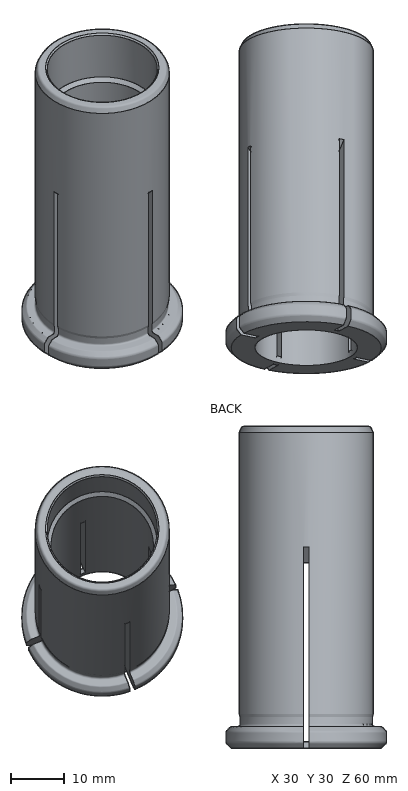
import cadquery as cq

HEIGHT = 60.0
FLANGE_RADIUS = 15.0
TUBE_RADIUS = 25.0 / 2
EDGE_ROUNDING = 0.6

LEAD_WIDTH = 0.55
LEAD_HEIGHT = 1.15

FLANGE_HEIGHT = 4.1
FLANGE_TOP_CHAMFER = 0.95
FLANGE_SHOULDER_ROUNDING = 0.4
FLANGE_BOTTOM_CHAMFER = 1.0
NECK_RADIUS = 12.35
NECK_TOP = 5.75
NECK_TAPER_TOP = 6.35
NECK_FOOT_RADIUS = 0.4

BORE_RADIUS = 19.1 / 2
COUNTERBORE_RADIUS = 20.5 / 2
COUNTERBORE_DEPTH = 10.1
BORE_MOUTH_CHAMFER = 0.3

SLOT_COUNT = 4
SLOT_WIDTH = 1.0
SLOT_TOP = 37.5
SLOT_SILL_HEIGHT = 1.25
CUT_MARGIN = 0.6

LEVEL_TOLERANCE = 0.05


def round_ring(body, height, rank, rounding):
    """Fillet the circular edge at a height; rank counts radii from the smallest."""
    reach = FLANGE_RADIUS + CUT_MARGIN
    level = cq.selectors.BoxSelector(
        (-reach, -reach, height - LEVEL_TOLERANCE),
        (reach, reach, height + LEVEL_TOLERANCE),
        boundingbox=True,
    )
    ring = cq.selectors.RadiusNthSelector(rank)
    return body.edges(level).edges(ring).fillet(rounding)


def make_outer_body():
    """Revolve the solid tube and flange, then round their edges."""
    lead_radius = TUBE_RADIUS - LEAD_WIDTH
    flange_rim_top = FLANGE_HEIGHT - FLANGE_TOP_CHAMFER
    body = (
        cq.Workplane("XZ")
        .polyline([
            (0, 0),
            (FLANGE_RADIUS - FLANGE_BOTTOM_CHAMFER, 0),
            (FLANGE_RADIUS, FLANGE_BOTTOM_CHAMFER),
            (FLANGE_RADIUS, flange_rim_top),
            (FLANGE_RADIUS - FLANGE_TOP_CHAMFER, FLANGE_HEIGHT),
            (NECK_RADIUS, FLANGE_HEIGHT),
            (NECK_RADIUS, NECK_TOP),
            (TUBE_RADIUS, NECK_TAPER_TOP),
            (TUBE_RADIUS, HEIGHT - LEAD_HEIGHT),
            (lead_radius, HEIGHT),
            (0, HEIGHT),
        ])
        .close()
        .revolve(360, (0, 0, 0), (0, 1, 0))
    )
    smallest, largest = 0, -1
    body = round_ring(body, FLANGE_BOTTOM_CHAMFER, largest, EDGE_ROUNDING)
    body = round_ring(body, flange_rim_top, largest, EDGE_ROUNDING)
    body = round_ring(body, HEIGHT, largest, EDGE_ROUNDING)
    body = round_ring(body, FLANGE_HEIGHT, largest, FLANGE_SHOULDER_ROUNDING)
    return round_ring(body, FLANGE_HEIGHT, smallest, NECK_FOOT_RADIUS)


def make_bore():
    """Revolve the stepped bore, including its chamfered upper mouth."""
    shoulder_top = HEIGHT - COUNTERBORE_DEPTH
    shoulder_bottom = shoulder_top - (COUNTERBORE_RADIUS - BORE_RADIUS)
    return (
        cq.Workplane("XZ")
        .polyline([
            (0, 0),
            (BORE_RADIUS, 0),
            (BORE_RADIUS, shoulder_bottom),
            (COUNTERBORE_RADIUS, shoulder_top),
            (COUNTERBORE_RADIUS, HEIGHT - BORE_MOUTH_CHAMFER),
            (COUNTERBORE_RADIUS + BORE_MOUTH_CHAMFER, HEIGHT),
            (0, HEIGHT),
        ])
        .close()
        .revolve(360, (0, 0, 0), (0, 1, 0))
    )


def make_slot():
    """Build one radial slot cutter along +X, its ends sloping at 45 degrees."""
    inner = BORE_RADIUS - CUT_MARGIN
    outer = FLANGE_RADIUS + CUT_MARGIN
    sill_sum = BORE_RADIUS + SLOT_SILL_HEIGHT
    top_offset = SLOT_TOP - TUBE_RADIUS
    return (
        cq.Workplane("XZ")
        .polyline([
            (inner, sill_sum - inner),
            (sill_sum + CUT_MARGIN, -CUT_MARGIN),
            (outer, -CUT_MARGIN),
            (outer, outer + top_offset),
            (inner, inner + top_offset),
        ])
        .close()
        .extrude(SLOT_WIDTH / 2, both=True)
    )


result = make_outer_body().cut(make_bore())
slot = make_slot()
for index in range(SLOT_COUNT):
    angle = index * 360 / SLOT_COUNT
    result = result.cut(slot.rotate((0, 0, 0), (0, 0, 1), angle))